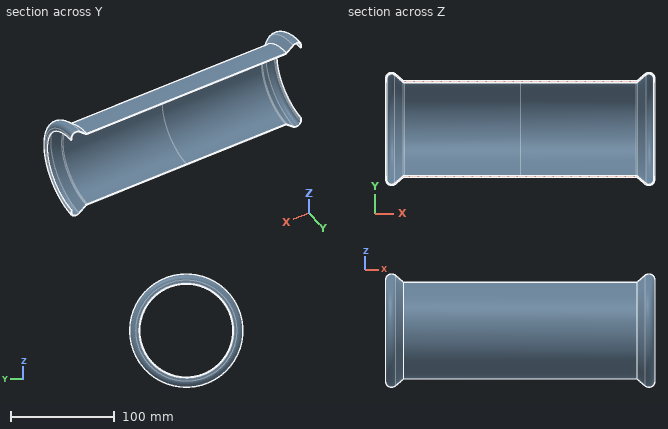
import cadquery as cq
import math

length = 260.0
tube_outer_radius = 93.5 / 2
tube_bore_radius = 89.5 / 2
lip_bore_radius = 91.0 / 2
bead_outer_radius = 109.5 / 2
bead_radius = 6.0
collar_length = 17.5
collar_wall = 1.5
throat_radius = 2.0
lip_rounding = 0.5

end_x = -length / 2
cone_foot_x = end_x + collar_length
lip_back_x = end_x + collar_wall

bead_x = end_x + bead_radius
bead_ring_radius = bead_outer_radius - bead_radius
hollow_radius = bead_radius - collar_wall

cone_run = cone_foot_x - bead_x
cone_drop = bead_ring_radius - tube_outer_radius
foot_distance = math.hypot(cone_run, cone_drop)
cone_normal_angle = math.acos(bead_radius / foot_distance) - math.atan2(cone_drop, cone_run)

throat_y = tube_bore_radius + throat_radius
throat_offset = hollow_radius + throat_radius
throat_rise = throat_y - bead_ring_radius
throat_x = bead_x + (throat_offset - throat_rise * math.sin(cone_normal_angle)) / math.cos(cone_normal_angle)


def arc_point(center, radius, angle):
    """Point (x, distance from the axis) on a circle of the section; angle 0 faces along +X."""
    return (center[0] + radius * math.cos(angle), center[1] + radius * math.sin(angle))


def make_wall():
    """Revolved wall of the left half: half the tube, the flared hollow bead and its lip."""
    bead_center = (bead_x, bead_ring_radius)
    throat_center = (throat_x, throat_y)
    front = math.pi
    crest = math.pi / 2
    bottom = 3 * math.pi / 2
    throat_start = cone_normal_angle + math.pi
    throat_middle = (throat_start + bottom) / 2
    profile = (
        cq.Workplane("XY")
        .moveTo(0, tube_outer_radius)
        .lineTo(cone_foot_x, tube_outer_radius)
        .lineTo(*arc_point(bead_center, bead_radius, cone_normal_angle))
        .threePointArc(arc_point(bead_center, bead_radius, crest), arc_point(bead_center, bead_radius, front))
        .lineTo(end_x, lip_bore_radius + lip_rounding)
        .radiusArc((end_x + lip_rounding, lip_bore_radius), -lip_rounding)
        .lineTo(lip_back_x - lip_rounding, lip_bore_radius)
        .radiusArc((lip_back_x, lip_bore_radius + lip_rounding), -lip_rounding)
        .lineTo(*arc_point(bead_center, hollow_radius, front))
        .threePointArc(
            arc_point(bead_center, hollow_radius, crest),
            arc_point(bead_center, hollow_radius, cone_normal_angle),
        )
        .lineTo(*arc_point(throat_center, throat_radius, throat_start))
        .threePointArc(
            arc_point(throat_center, throat_radius, throat_middle),
            arc_point(throat_center, throat_radius, bottom),
        )
        .lineTo(0, tube_bore_radius)
        .close()
    )
    return profile.revolve(360, (0, 0, 0), (1, 0, 0))


left_half = make_wall()
right_half = left_half.mirror("YZ")
result = left_half.union(right_half).clean()